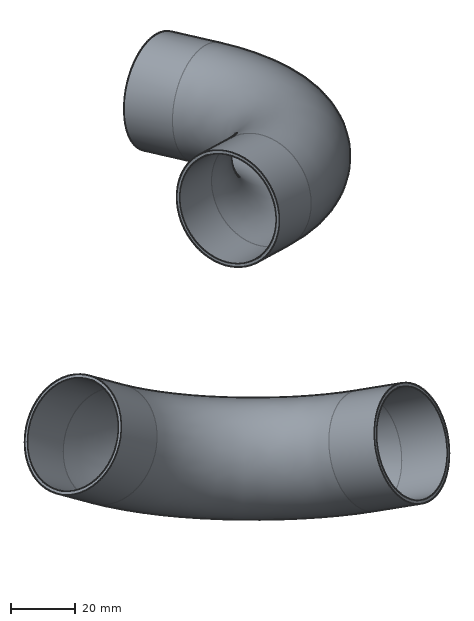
import cadquery as cq
import math

overall_length = 94.05
outer_diameter = 38.1
inner_diameter = 35.7
straight_length = 18.0

bend_radius = overall_length - outer_diameter / 2 - straight_length


def elbow(diameter):
    """Solid round bar along the centreline: straight leg, quarter bend, straight leg."""
    diagonal = bend_radius * math.sin(math.radians(45))
    bend_start = (straight_length, 0)
    bend_middle = (straight_length + diagonal, diagonal - bend_radius)
    bend_end = (straight_length + bend_radius, -bend_radius)
    centreline = (
        cq.Workplane("XY")
        .lineTo(*bend_start)
        .threePointArc(bend_middle, bend_end)
        .line(0, -straight_length)
    )
    return cq.Workplane("YZ").circle(diameter / 2).sweep(centreline)


result = elbow(outer_diameter).cut(elbow(inner_diameter))